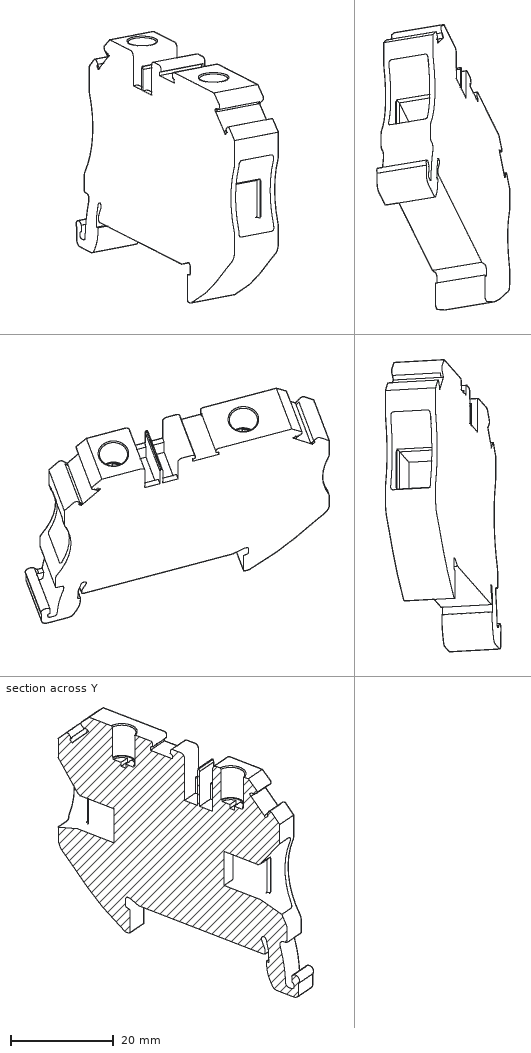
import cadquery as cq
import math

length = 58.85
thickness = 10.0
height = 45.5
mid_y = thickness / 2
overshoot = 0.6

mid_x = 31.85
right_wall = length
left_wall = 2 * mid_x - right_wall
shoulder_z = 37.9
step_wall = 3.0
step_z = 11.65

grip_radius = 18.25
grip_depth = 1.35
grip_z = 25.8
grip_edge_radius = 2.0

rail_z = 7.05
foot_x = 41.3

jumper_left = 21.25
jumper_right = 28.0
jumper_floor = 38.55
jumper_corner = 0.95
well_wall = 1.05
well_depth = 3.55
fin_thickness = 0.6
fin_x = 24.6
fin_top = 43.45
fin_tip_height = 0.55
fin_tip_width = 0.25

label_left = 31.55
label_right = 35.8
label_floor = 43.4
label_undercut = 0.55
label_undercut_height = 0.95

hook_bead_radius = 1.0
hook_bead_z = 4.25

web = 0.5
hook_web = 1.05

screw_centers_x = [16.4, 42.9]
screw_mouth_diameter = 5.95
screw_hole_diameter = 5.5
screw_head_diameter = 5.0
screw_depth = 7.05
screw_recess = 0.35
driver_slot_width = 1.05
driver_slot_depth = 0.9

mouth_width = 7.9
mouth_bottom = 17.9
mouth_top = 33.55
throat_width = 7.5
throat_bottom = 19.25
throat_top = 27.25
funnel_depth = 4.7
funnel_corner = 0.55
chamber_width = 6.65
chamber_top = 26.85
chamber_corner = 0.3
throat_taper = 0.6
chamber_depth = 8.25


def outline(corners):
    """Closed XZ wire through (x, z, radius) corners, each rounded by its radius."""
    stretches = []
    for i, (x, z, radius) in enumerate(corners):
        px, pz, _ = corners[i - 1]
        nx, nz, _ = corners[(i + 1) % len(corners)]
        here = cq.Vector(x, z)
        to_prev = (cq.Vector(px, pz) - here).normalized()
        to_next = (cq.Vector(nx, nz) - here).normalized()
        if radius == 0:
            stretches.append([here])
            continue
        half = to_prev.getAngle(to_next) / 2
        setback = radius / math.tan(half)
        bisector = (to_prev + to_next).normalized()
        middle = here + bisector * (radius / math.sin(half) - radius)
        stretches.append([here + to_prev * setback, middle, here + to_next * setback])

    wire = cq.Workplane("XZ").moveTo(*stretches[0][-1].toTuple()[:2])
    for points in stretches[1:] + stretches[:1]:
        flat = [p.toTuple()[:2] for p in points]
        wire = wire.lineTo(*flat[0])
        if len(flat) == 3:
            wire = wire.threePointArc(flat[1], flat[2])
    return wire.close()


def prism(corners, depth=thickness):
    """Extrude a rounded outline from Y = 0 toward +Y."""
    return outline(corners).extrude(-depth)


def sharp(points):
    return [(x, z, 0) for x, z in points]


def mirrored(points):
    """Mirror (x, z, ...) corners about the middle of the upper body, reversing their order."""
    return [(2 * mid_x - p[0],) + tuple(p[1:]) for p in reversed(points)]


shoulder = [
    (left_wall, shoulder_z, 0),
    (7.2, 40.3, 0.6),
    (8.6, 38.55, 0),
    (11.8, 41.8, 0),
    (10.05, 43.25, 0.6),
    (12.5, height, 0),
]

top_edge = [
    (jumper_left, height, jumper_corner),
    (jumper_left, jumper_floor, 0),
    (jumper_right, jumper_floor, 0),
    (jumper_right, height, jumper_corner),
    (label_left, height, 0.75),
    (label_left, label_floor, 0),
    (label_right, label_floor, 0),
    (label_right, height, 0.55),
]

right_foot = [
    (right_wall, 13.8, 3.55),
    (55.55, 10.6, 0),
    (51.9, 6.95, 23.55),
    (48.15, 3.7, 0),
    (42.5, 0, 0.7),
    (foot_x, 0, 0.4),
    (foot_x, 5.55, 0.2),
    (42.3, 5.75, 0.35),
    (42.3, 8.0, 0.4),
    (41.4, 8.0, 0.6),
    (39.2, rail_z, 0),
]

left_foot = [
    (8.3, rail_z, 0.5),
    (8.4, 8.4, 1.2),
    (9.55, 10.8, 0.55),
    (8.35, 11.1, 0.55),
    (7.65, 8.25, 4.7),
    (7.6, 5.75, 0),
    (8.1, 5.75, 0),
    (8.1, 3.3, 7.05),
    (6.35, 0, 1.4),
    (0.2, 0, 1.3),
    (0.2, hook_bead_z, 0),
    (1.65, 4.9, 0),
    (2.5, 4.05, 0),
    (3.5, 4.05, 0),
    (3.75, 7.05, 26.5),
    (4.7, 10.35, 2.95),
    (4.7, step_z, 0.7),
    (step_wall, step_z, 0.4),
]

grip_top_corner = [(step_wall, grip_z, 0), (left_wall, grip_z, 0)]

body = prism(shoulder + top_edge + mirrored(shoulder) + right_foot + left_foot + grip_top_corner)

grip_offset = grip_radius - grip_depth
for center_x in (left_wall - grip_offset, right_wall + grip_offset):
    grip = cq.Workplane("XZ").center(center_x, grip_z).circle(grip_radius).extrude(-thickness)
    body = body.cut(grip)


def grip_edge_z(wall_distance):
    """Vertical distance from the grip axis to its edge on a wall this far from the axis."""
    return math.sqrt(grip_radius**2 - wall_distance**2)


wall_edge = grip_edge_z(grip_offset)
step_edge = grip_edge_z(grip_offset - (left_wall - step_wall))
for edge_x, edge_z in (
    (left_wall, grip_z + wall_edge),
    (step_wall, grip_z - step_edge),
    (right_wall, grip_z + wall_edge),
    (right_wall, grip_z - wall_edge),
):
    edge = body.edges("|Y").edges(cq.selectors.NearestToPointSelector((edge_x, mid_y, edge_z)))
    body = edge.fillet(grip_edge_radius)

upper_undercut = sharp([(11.0, 42.5), (11.7, 42.5), (12.2, 42.15), (11.8, 41.8)])
lower_undercut = sharp([(8.0, 39.2), (7.75, 38.7), (8.3, 38.2), (8.6, 38.55)])
for undercut in (upper_undercut, lower_undercut):
    body = body.cut(prism(undercut, thickness - web))
    body = body.cut(prism(mirrored(undercut), thickness - web))

undercut_top = label_floor + label_undercut_height
for wall_x, side in ((label_left, -1), (label_right, 1)):
    deep_x = wall_x + side * label_undercut
    label_notch = sharp([
        (wall_x, label_floor),
        (deep_x, label_floor),
        (deep_x, undercut_top - label_undercut / 2),
        (wall_x, undercut_top),
    ])
    body = body.cut(prism(label_notch, thickness - web))

bead = cq.Workplane("XZ").center(hook_bead_radius, hook_bead_z).circle(hook_bead_radius)
body = body.union(bead.extrude(-thickness))

hook_slot = [
    (1.95, 4.6, 0),
    (1.95, 3.3, 0.2),
    (1.5, 2.95, 0.2),
    (1.5, 1.8, 0.55),
    (3.3, 1.8, 0.7),
    (3.5, 4.05, 0),
    (3.5, 4.6, 0),
]
body = body.cut(prism(hook_slot, thickness - hook_web))

well = cq.Workplane("XY").box(
    jumper_right - jumper_left, thickness - 2 * well_wall, well_depth, centered=False
).translate((jumper_left, well_wall, jumper_floor - well_depth))
fin_half = fin_thickness / 2
tip_half = fin_tip_width / 2
fin_shoulder = fin_top - fin_tip_height
fin = prism(sharp([
    (fin_x - fin_half, jumper_floor - well_depth),
    (fin_x - fin_half, fin_shoulder),
    (fin_x - tip_half, fin_top),
    (fin_x + tip_half, fin_top),
    (fin_x + fin_half, fin_shoulder),
    (fin_x + fin_half, jumper_floor - well_depth),
]), thickness - web)
body = body.cut(well).union(fin)


def screw_well(center_x):
    """Chamfered well with a recessed, slotted screw head at its bottom."""

    def disk(diameter, top_z, depth):
        plane = cq.Workplane("XY", origin=(center_x, mid_y, top_z))
        return plane.circle(diameter / 2).extrude(-depth)

    mouth_chamfer = (screw_mouth_diameter - screw_hole_diameter) / 2
    bottom_z = height - screw_depth
    head_z = bottom_z - screw_recess
    rim = cq.Workplane("XY", origin=(center_x, mid_y, height)).circle(screw_mouth_diameter / 2)
    mouth = rim.workplane(offset=-mouth_chamfer).circle(screw_hole_diameter / 2).loft()
    hole = disk(screw_hole_diameter, height, screw_depth)
    recess = disk(screw_head_diameter, bottom_z, screw_recess)
    bar = cq.Workplane("XY").box(driver_slot_width, screw_head_diameter, 2 * driver_slot_depth)
    driver_slot = disk(screw_head_diameter, head_z, driver_slot_depth)
    driver_slot = driver_slot.intersect(bar.translate((center_x, mid_y, head_z)))
    return hole.union(mouth).union(recess).union(driver_slot)


for center_x in screw_centers_x:
    body = body.cut(screw_well(center_x))


def tapered_passage(start_x, start, end_x, end):
    """Loft along X between two (width, bottom, top) rectangles centred on the thickness."""
    start_width, start_bottom, start_top = start
    end_width, end_bottom, end_top = end
    start_z = (start_bottom + start_top) / 2
    end_z = (end_bottom + end_top) / 2
    passage = cq.Workplane("YZ", origin=(start_x, mid_y, start_z))
    passage = passage.rect(start_width, start_top - start_bottom)
    passage = passage.workplane(offset=end_x - start_x).center(0, end_z - start_z)
    return passage.rect(end_width, end_top - end_bottom).loft(ruled=True)


def wire_funnel():
    """Funnel in the left wall that narrows into a plain wire chamber."""
    throat_x = left_wall + funnel_depth
    chamber_x = throat_x + throat_taper
    outer_x = left_wall - overshoot
    grow = overshoot / funnel_depth
    funnel = prism(sharp([
        (outer_x, mouth_bottom + (mouth_bottom - throat_bottom) * grow),
        (outer_x, mouth_top + (mouth_top - throat_top) * grow),
        (throat_x, throat_top),
        (throat_x, throat_bottom),
    ]), mouth_width).translate((0, mid_y - mouth_width / 2, 0))
    funnel = funnel.edges("not(|Y or |Z)").fillet(funnel_corner)
    throat = (throat_width, throat_bottom, throat_top)
    chamber = (chamber_width, throat_bottom, chamber_top)
    taper = tapered_passage(throat_x, throat, chamber_x, chamber)
    box = cq.Workplane("XY").box(chamber_depth, chamber_width, chamber_top - throat_bottom, centered=False)
    box = box.translate((chamber_x, mid_y - chamber_width / 2, throat_bottom))
    box = box.faces("<Z").edges("|X").fillet(chamber_corner)
    return funnel.union(taper).union(box)


left_funnel = wire_funnel()
right_funnel = left_funnel.mirror("YZ", (mid_x, 0, 0))
body = body.cut(left_funnel).cut(right_funnel)

result = body